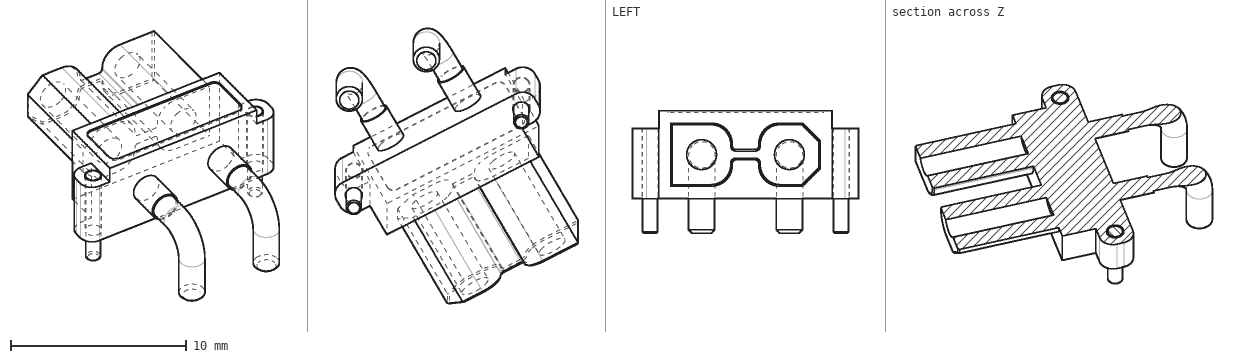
import cadquery as cq
import math


BLOCK_LENGTH = 4.0
BLOCK_WIDTH = 9.89
BLOCK_HEIGHT = 5.01
BLOCK_TOP = BLOCK_HEIGHT / 2
BLOCK_BOTTOM = -BLOCK_HEIGHT / 2

RECESS_MARGIN = 0.5
RECESS_DEPTH = 0.1
RECESS_CORNER_RADIUS = 0.4

PLUG_LENGTH = 6.0
PLUG_WIDTH = 8.51
PLUG_HEIGHT = 3.6
LOBE_GAP = 1.5
LOBE_RADIUS = 1.2
WEB_THICKNESS = 0.6
WEB_FILLET = 0.2
KEY_CHAMFER = 1.0
PLUG_EDGE_CHAMFER = 0.1

POLE_PITCH = 5.01
POLE_POSITIONS = (-POLE_PITCH / 2, POLE_PITCH / 2)
SOCKET_DIAMETER = 1.7
SOCKET_DEPTH = PLUG_LENGTH

EAR_WIDTH = 2.0
EAR_REACH = 1.5
EAR_HEIGHT = 4.0
EAR_CORNER_RADIUS = 0.8
EAR_SIDES = (-1, 1)
POST_DIAMETER = 0.86
POST_CLEARANCE = 0.05
POST_HOLE_DIAMETER = POST_DIAMETER + 2 * POST_CLEARANCE
POST_DROP = 1.99
POST_CHAMFER = 0.1
POST_EDGE_DISTANCE = 1.0
POST_X = BLOCK_LENGTH - EAR_WIDTH / 2
POST_Y = BLOCK_WIDTH / 2 + EAR_REACH - POST_EDGE_DISTANCE
POST_BOTTOM = BLOCK_BOTTOM - POST_DROP
EAR_TOP = BLOCK_BOTTOM + EAR_HEIGHT

COLLAR_DIAMETER = 1.69
COLLAR_LENGTH = 2.0
WIRE_DIAMETER = 1.5
WIRE_STRAIGHT = 1.1
BEND_RADIUS = 1.8
WIRE_TIP_CHAMFER = 0.2


def make_block():
    """Rectangular block with the label recess in its top face."""
    block = cq.Workplane("XY").box(BLOCK_LENGTH, BLOCK_WIDTH, BLOCK_HEIGHT, centered=(False, True, True))
    recess = (
        cq.Workplane("XY", origin=(BLOCK_LENGTH / 2, 0, BLOCK_TOP - RECESS_DEPTH))
        .rect(BLOCK_LENGTH - 2 * RECESS_MARGIN, BLOCK_WIDTH - 2 * RECESS_MARGIN)
        .extrude(RECESS_DEPTH)
        .edges("|Z")
        .fillet(RECESS_CORNER_RADIUS)
    )
    return block.cut(recess)


def make_plug():
    """Plug with a square lobe at +Y, a corner-cut lobe at -Y and a web between them."""
    half_width = PLUG_WIDTH / 2
    half_height = PLUG_HEIGHT / 2
    half_gap = LOBE_GAP / 2
    half_web = WEB_THICKNESS / 2
    round_start = half_gap + LOBE_RADIUS
    round_end = half_height - LOBE_RADIUS
    key_y = half_width - KEY_CHAMFER
    key_z = half_height - KEY_CHAMFER
    fillet_start = half_web + WEB_FILLET
    web_end = half_gap - WEB_FILLET

    lobe_mid = LOBE_RADIUS * math.sqrt(0.5)
    lobe_mid_y = round_start - lobe_mid
    lobe_mid_z = round_end + lobe_mid
    fillet_mid = WEB_FILLET * math.sqrt(0.5)
    fillet_mid_y = web_end + fillet_mid
    fillet_mid_z = fillet_start - fillet_mid

    plug = (
        cq.Workplane("YZ", origin=(-PLUG_LENGTH, 0, 0))
        .moveTo(half_width, -half_height)
        .lineTo(half_width, half_height)
        .lineTo(round_start, half_height)
        .threePointArc((lobe_mid_y, lobe_mid_z), (half_gap, round_end))
        .lineTo(half_gap, fillet_start)
        .threePointArc((fillet_mid_y, fillet_mid_z), (web_end, half_web))
        .lineTo(-web_end, half_web)
        .threePointArc((-fillet_mid_y, fillet_mid_z), (-half_gap, fillet_start))
        .lineTo(-half_gap, round_end)
        .threePointArc((-lobe_mid_y, lobe_mid_z), (-round_start, half_height))
        .lineTo(-key_y, half_height)
        .lineTo(-half_width, key_z)
        .lineTo(-half_width, -key_z)
        .lineTo(-key_y, -half_height)
        .lineTo(-round_start, -half_height)
        .threePointArc((-lobe_mid_y, -lobe_mid_z), (-half_gap, -round_end))
        .lineTo(-half_gap, -fillet_start)
        .threePointArc((-fillet_mid_y, -fillet_mid_z), (-web_end, -half_web))
        .lineTo(web_end, -half_web)
        .threePointArc((fillet_mid_y, -fillet_mid_z), (half_gap, -fillet_start))
        .lineTo(half_gap, -round_end)
        .threePointArc((lobe_mid_y, -lobe_mid_z), (round_start, -half_height))
        .close()
        .extrude(PLUG_LENGTH)
    )
    return plug.faces("<X").edges().chamfer(PLUG_EDGE_CHAMFER)


def make_socket(y):
    """Cutter for the blind socket on one pole, open at the plug face."""
    return cq.Workplane("YZ", origin=(-PLUG_LENGTH, y, 0)).circle(SOCKET_DIAMETER / 2).extrude(SOCKET_DEPTH)


def make_lead(y):
    """Collar and bent wire of one pole, behind the block."""
    wire_start = BLOCK_LENGTH + COLLAR_LENGTH
    bend_start = wire_start + WIRE_STRAIGHT
    drop_x = bend_start + BEND_RADIUS
    bend_mid = BEND_RADIUS * math.sqrt(0.5)
    collar = (
        cq.Workplane("YZ", origin=(BLOCK_LENGTH, y, 0))
        .circle(COLLAR_DIAMETER / 2)
        .extrude(COLLAR_LENGTH)
    )
    path = (
        cq.Workplane("XZ", origin=(0, y, 0))
        .moveTo(wire_start, 0)
        .lineTo(bend_start, 0)
        .threePointArc((bend_start + bend_mid, bend_mid - BEND_RADIUS), (drop_x, -BEND_RADIUS))
        .lineTo(drop_x, POST_BOTTOM)
    )
    wire = cq.Workplane("YZ", origin=(wire_start, y, 0)).circle(WIRE_DIAMETER / 2).sweep(path)
    wire = wire.faces("<Z").edges().chamfer(WIRE_TIP_CHAMFER)
    return collar.union(wire)


def make_ear(side):
    """Mounting ear on one side of the block, with rounded outer corners and the post hole."""
    ear = (
        cq.Workplane("XY", origin=(POST_X, side * (BLOCK_WIDTH + EAR_REACH) / 2, BLOCK_BOTTOM))
        .rect(EAR_WIDTH, EAR_REACH)
        .extrude(EAR_HEIGHT)
        .edges("|Z and >Y" if side > 0 else "|Z and <Y")
        .fillet(EAR_CORNER_RADIUS)
    )
    hole = (
        cq.Workplane("XY", origin=(POST_X, side * POST_Y, BLOCK_BOTTOM))
        .circle(POST_HOLE_DIAMETER / 2)
        .extrude(EAR_HEIGHT)
    )
    return ear.cut(hole)


def make_connector():
    """Block, plug, ears and leads as one solid."""
    connector = make_block().union(make_plug())
    for y in POLE_POSITIONS:
        connector = connector.cut(make_socket(y)).union(make_lead(y))
    for side in EAR_SIDES:
        connector = connector.union(make_ear(side))
    return connector


def make_post(side):
    """Locating post, level with the top of its ear and chamfered at its lower tip."""
    return (
        cq.Workplane("XY", origin=(POST_X, side * POST_Y, POST_BOTTOM))
        .circle(POST_DIAMETER / 2)
        .extrude(EAR_TOP - POST_BOTTOM)
        .faces("<Z")
        .edges()
        .chamfer(POST_CHAMFER)
    )


connector = make_connector()
posts = [make_post(side) for side in EAR_SIDES]

result = cq.Compound.makeCompound([connector.val(), *[post.val() for post in posts]])